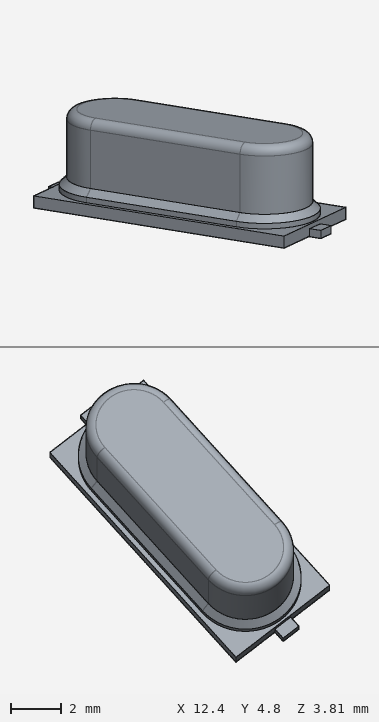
import cadquery as cq

base_length = 11.4
base_width = 4.8
base_bottom = 0.02
base_top = 0.52

can_length = 10.6
can_width = 3.8
can_top = 3.81
can_top_fillet = 0.4
flange_spread = 0.3
flange_top = 0.75
flare_top = 1.03

overall_length = 12.4
lead_length = 4.5
lead_width = 0.8
lead_thickness = 0.33


def stadium(bottom, length, width):
    """Round-ended outline, centred on Z, at the given height."""
    return cq.Workplane("XY").workplane(offset=bottom).slot2D(length, width)


def make_base():
    return (
        cq.Workplane("XY")
        .workplane(offset=base_bottom)
        .rect(base_length, base_width)
        .extrude(base_top - base_bottom)
    )


def make_can():
    flange_length = can_length + 2 * flange_spread
    flange_width = can_width + 2 * flange_spread
    flange = stadium(base_top, flange_length, flange_width).extrude(flare_top - base_top)
    flange = flange.faces(">Z").edges().chamfer(flare_top - flange_top, flange_spread)
    cover = stadium(base_top, can_length, can_width).extrude(can_top - base_top)
    cover = cover.faces(">Z").edges().fillet(can_top_fillet)
    return flange.union(cover)


def make_lead(side):
    """Lead running inward from one end; side is -1 or +1 along X."""
    lead_centre = side * (overall_length - lead_length) / 2
    return (
        cq.Workplane("XY")
        .center(lead_centre, 0)
        .rect(lead_length, lead_width)
        .extrude(lead_thickness)
    )


result = make_base().union(make_can())
for side in (-1, 1):
    result = result.union(make_lead(side))